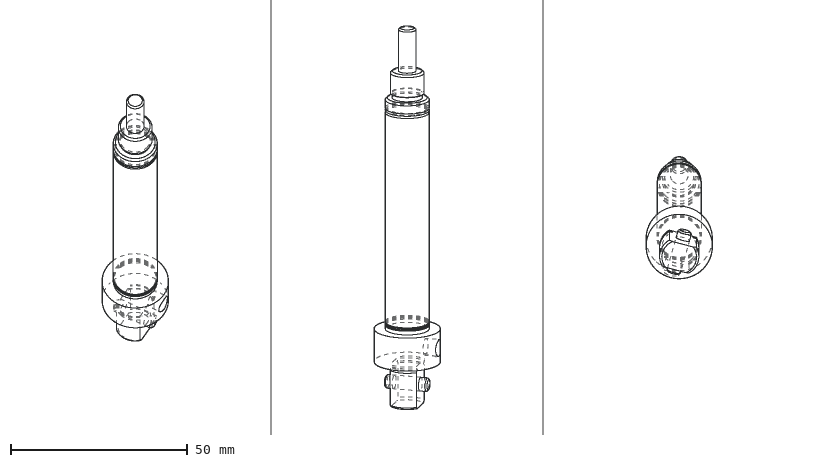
import cadquery as cq


total_height = 111.25

rod_radius = 2.5
rod_length = 12.65
rod_chamfer = 0.5

tang_radius = 5.55
tang_thickness = 7.75
tang_height = 12.7
tang_chamfer = 0.65
tang_groove_depth = 0.65
tang_groove_gap = 0.5
pin_radius = 1.95
pin_length = 12.6
pin_chamfer = 0.45
pin_height = 6.4

cap_radius = 9.4
cap_height = 9.75
port_radius = 2.4
port_depth = 4.0

barrel_radius = 6.25
barrel_chamfer = 0.6
shoulder_top = 90.7
crimp_pitch = 0.65
crimp_count = 2
upper_crimp_depth = crimp_pitch
lower_crimp_depth = crimp_pitch / 2
upper_crimp_top = 87.65
lower_crimp_bottom = 23.55

nose_radius = 4.8
nose_chamfer = 0.6
neck_radius = 4.3
neck_height = 1.35

cap_top = tang_height + cap_height
nose_bottom = shoulder_top + neck_height
nose_top = total_height - rod_length
port_height = tang_height + cap_height / 2


def disc(radius, bottom, top):
    """Cylinder on the Z axis between two levels."""
    return cq.Workplane("XY").workplane(offset=bottom).circle(radius).extrude(top - bottom)


def turned_cut(points):
    """Solid of revolution about Z from (radius, height) points, used as a cutter."""
    return cq.Workplane("XZ").polyline(points).close().revolve(360, (0, 0, 0), (0, 1, 0))


def cut_crimp(body, level, depth, direction):
    """Saw-tooth groove: flat step at level, then a 45-degree cone back out, upward (1) or downward (-1)."""
    root_radius = barrel_radius - depth
    cone_end = level + direction * depth
    return body.cut(turned_cut([(barrel_radius, level), (root_radius, level), (barrel_radius, cone_end)]))


def make_tang():
    """Round shank with two flats across X, a V groove under the end cap and a bottom chamfer."""
    shank = disc(tang_radius, 0, tang_height).faces("<Z").chamfer(tang_chamfer)
    groove_top = tang_height - tang_groove_gap
    groove_root = groove_top - tang_groove_depth
    groove_bottom = groove_root - tang_groove_depth
    groove = turned_cut([
        (tang_radius, groove_top),
        (tang_radius - tang_groove_depth, groove_root),
        (tang_radius, groove_bottom),
    ])
    flats = cq.Workplane("XY").rect(tang_thickness, 2 * tang_radius).extrude(tang_height)
    return shank.cut(groove).intersect(flats)


def x_cylinder(radius, start, length, height):
    """Cylinder along +X beginning at X = start."""
    return cq.Workplane("YZ", origin=(start, 0, height)).circle(radius).extrude(length)


def make_housing():
    """Tang, end cap, barrel, relief neck and nose in one piece."""
    barrel = disc(barrel_radius, cap_top, shoulder_top).faces(">Z").chamfer(barrel_chamfer)
    for index in range(crimp_count):
        barrel = cut_crimp(barrel, upper_crimp_top - index * crimp_pitch, upper_crimp_depth, -1)
        barrel = cut_crimp(barrel, lower_crimp_bottom + index * crimp_pitch, lower_crimp_depth, 1)
    neck = disc(neck_radius, shoulder_top, nose_bottom)
    nose = disc(nose_radius, nose_bottom, nose_top).faces(">Z").chamfer(nose_chamfer)
    cap = disc(cap_radius, tang_height, cap_top)
    body = make_tang().union(cap).union(barrel).union(neck).union(nose)
    port = x_cylinder(port_radius, cap_radius - port_depth, port_depth, port_height)
    pin_hole = x_cylinder(pin_radius, -pin_length / 2, pin_length, pin_height)
    return body.cut(port).cut(pin_hole)


def make_pin():
    """Cross pin through the tang, chamfered at both ends."""
    pin = x_cylinder(pin_radius, -pin_length / 2, pin_length, pin_height)
    return pin.faces("<X or >X").chamfer(pin_chamfer)


def make_rod():
    """Piston rod standing on the nose face, chamfered at its tip."""
    return disc(rod_radius, nose_top, total_height).faces(">Z").chamfer(rod_chamfer)


housing = make_housing()
pin = make_pin()
rod = make_rod()

result = cq.Compound.makeCompound([body.solids().val() for body in (housing, pin, rod)])